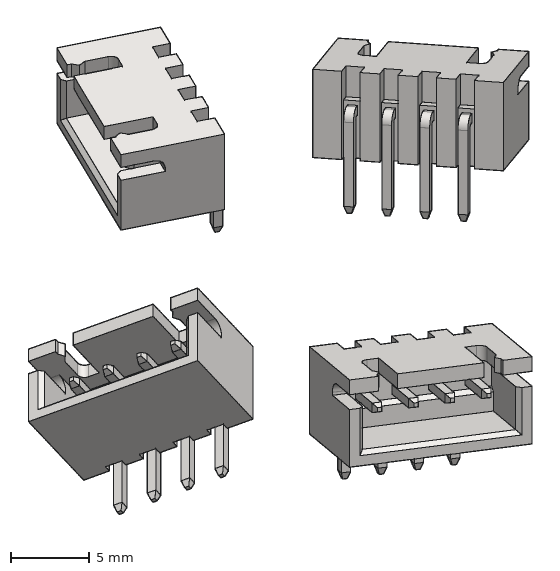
import cadquery as cq
import math


WIDTH = 12.51
DEPTH = 7.0
HEIGHT = 5.9
WALL = 1.0
FRONT = -DEPTH

CAVITY_DEPTH = 4.5
LEDGE_REACH = 0.3
LEDGE_HEIGHT = 2.6
LEAD_IN = 0.3
ROOF_UNDERSIDE = HEIGHT - WALL
CAVITY_BACK = FRONT + CAVITY_DEPTH
LEDGE_FRONT = CAVITY_BACK - LEDGE_REACH

SIDE_SLOT_DEPTH = 3.0
SIDE_SLOT_HEIGHT = 1.0
SIDE_SLOT_RADIUS = 0.8

ROOF_SLOT_DEPTH = 3.3
ROOF_SLOT_INNER_X = 2.96
ROOF_SLOT_OUTER_X = 4.26
ROOF_SLOT_RADIUS = 0.5
TOOTH_HEIGHT = 0.3
TOOTH_START = 0.3
TOOTH_PEAK = 0.73
TOOTH_END = 1.2

PIN_COUNT = 4
PITCH = 2.5
PIN_SIZE = 0.64
PIN_AXIS_Z = 3.22
PIN_TIP_SETBACK = 1.13
TAIL_LENGTH = 3.4
TIP_SIZE = 0.3
TIP_LENGTH = 0.5
BEND_INNER_RADIUS = 0.18
BEND_OUTER_RADIUS = BEND_INNER_RADIUS + PIN_SIZE
PIN_XS = [(i - (PIN_COUNT - 1) / 2) * PITCH for i in range(PIN_COUNT)]

NOTCH_WIDTH = 1.21
CHANNEL_DEPTH = 0.5
UPPER_NOTCH_DEPTH = 1.2
NOTCH_FLOOR_CLEARANCE = 0.3
UPPER_NOTCH_FLOOR = PIN_AXIS_Z + PIN_SIZE / 2 + NOTCH_FLOOR_CLEARANCE


def box(x_min, x_max, y_min, y_max, z_min, z_max):
    """Axis-aligned block between the given limits."""
    size = (x_max - x_min, y_max - y_min, z_max - z_min)
    return cq.Workplane("XY").box(*size, centered=False).translate((x_min, y_min, z_min))


def make_cavity():
    """Mating cavity, less the ledge, with the flared mouth."""
    half_width = WIDTH / 2 - WALL
    cavity = box(-half_width, half_width, FRONT, CAVITY_BACK, WALL, ROOF_UNDERSIDE)
    ledge = (
        cq.Workplane("YZ", origin=(-half_width, 0, 0))
        .moveTo(CAVITY_BACK, WALL)
        .lineTo(LEDGE_FRONT, WALL)
        .lineTo(LEDGE_FRONT, LEDGE_HEIGHT - LEAD_IN)
        .lineTo(CAVITY_BACK, LEDGE_HEIGHT)
        .close()
        .extrude(2 * half_width)
    )
    return cavity.cut(ledge)


def make_mouth_flare():
    """Tapered lead-in on the floor and both side walls of the mouth."""
    half_width = WIDTH / 2 - WALL
    outer = half_width + LEAD_IN
    flare_top = ROOF_UNDERSIDE - SIDE_SLOT_HEIGHT

    def section(half, bottom):
        return [(-half, bottom), (half, bottom), (half, flare_top), (-half, flare_top)]

    return (
        cq.Workplane("XZ", origin=(0, FRONT, 0))
        .polyline(section(outer, WALL - LEAD_IN))
        .close()
        .workplane(offset=-LEAD_IN)
        .polyline(section(half_width, WALL))
        .close()
        .loft(ruled=True)
    )


def make_side_slots():
    """Slot across the full width, rounded at its upper rear corner."""
    slot_back = FRONT + SIDE_SLOT_DEPTH
    slot_floor = ROOF_UNDERSIDE - SIDE_SLOT_HEIGHT
    slot = box(-WIDTH / 2, WIDTH / 2, FRONT, slot_back, slot_floor, ROOF_UNDERSIDE)
    return slot.faces(">Z").edges(">Y").fillet(SIDE_SLOT_RADIUS)


def make_roof_slot():
    """Latching slot on the +X side, with a tooth on its outer edge."""
    back = FRONT + ROOF_SLOT_DEPTH
    radius = ROOF_SLOT_RADIUS
    arc_inset = radius * (1 - math.sqrt(0.5))
    return (
        cq.Workplane("XY", origin=(0, 0, ROOF_UNDERSIDE))
        .moveTo(ROOF_SLOT_INNER_X, FRONT)
        .lineTo(ROOF_SLOT_INNER_X, back)
        .lineTo(ROOF_SLOT_OUTER_X - radius, back)
        .threePointArc(
            (ROOF_SLOT_OUTER_X - arc_inset, back - arc_inset),
            (ROOF_SLOT_OUTER_X, back - radius),
        )
        .lineTo(ROOF_SLOT_OUTER_X, FRONT + TOOTH_END)
        .lineTo(ROOF_SLOT_OUTER_X - TOOTH_HEIGHT, FRONT + TOOTH_PEAK)
        .lineTo(ROOF_SLOT_OUTER_X, FRONT + TOOTH_START)
        .lineTo(ROOF_SLOT_OUTER_X, FRONT)
        .close()
        .extrude(WALL)
    )


def make_rear_notch(x):
    """Stepped notch in the rear wall behind the pin at x."""
    left = x - NOTCH_WIDTH / 2
    right = x + NOTCH_WIDTH / 2
    channel = box(left, right, -CHANNEL_DEPTH, 0, 0, HEIGHT)
    upper = box(left, right, -UPPER_NOTCH_DEPTH, 0, UPPER_NOTCH_FLOOR, HEIGHT)
    return channel.union(upper)


def make_housing():
    housing = box(-WIDTH / 2, WIDTH / 2, FRONT, 0, 0, HEIGHT)
    housing = housing.cut(make_cavity()).cut(make_mouth_flare()).cut(make_side_slots())
    roof_slot = make_roof_slot()
    housing = housing.cut(roof_slot).cut(roof_slot.mirror("YZ"))
    for x in PIN_XS:
        housing = housing.cut(make_rear_notch(x))
    return housing


def make_tip(plane):
    """Pyramid tip growing along the normal of the given plane."""
    return (
        cq.Workplane(plane)
        .rect(PIN_SIZE, PIN_SIZE)
        .workplane(offset=TIP_LENGTH)
        .rect(TIP_SIZE, TIP_SIZE)
        .loft(ruled=True)
    )


def make_pin(x):
    """Right-angle square pin with a contact toward -Y and a tail toward -Z."""
    shank_front = FRONT + PIN_TIP_SETBACK + TIP_LENGTH
    shank_bottom = TIP_LENGTH - TAIL_LENGTH
    pin_top = PIN_AXIS_Z + PIN_SIZE / 2
    pin_underside = PIN_AXIS_Z - PIN_SIZE / 2

    contact = box(-PIN_SIZE / 2, PIN_SIZE / 2, shank_front, PIN_SIZE, pin_underside, pin_top)
    tail = box(-PIN_SIZE / 2, PIN_SIZE / 2, 0, PIN_SIZE, shank_bottom, pin_top)
    inner_corner = box(
        -PIN_SIZE / 2, PIN_SIZE / 2,
        -BEND_INNER_RADIUS, 0,
        pin_underside - BEND_INNER_RADIUS, pin_underside,
    )
    inner_round = (
        cq.Workplane("YZ", origin=(-PIN_SIZE / 2, 0, 0))
        .center(-BEND_INNER_RADIUS, pin_underside - BEND_INNER_RADIUS)
        .circle(BEND_INNER_RADIUS)
        .extrude(PIN_SIZE)
    )
    pin = contact.union(tail).edges("|X and >Y and >Z").fillet(BEND_OUTER_RADIUS)
    pin = pin.union(inner_corner.cut(inner_round))

    contact_end = cq.Plane((0, shank_front, PIN_AXIS_Z), xDir=(1, 0, 0), normal=(0, -1, 0))
    tail_end = cq.Plane((0, PIN_SIZE / 2, shank_bottom), xDir=(1, 0, 0), normal=(0, 0, -1))
    pin = pin.union(make_tip(contact_end)).union(make_tip(tail_end))
    return pin.translate((x, 0, 0))


result = make_housing()
for pin_x in PIN_XS:
    result = result.union(make_pin(pin_x))